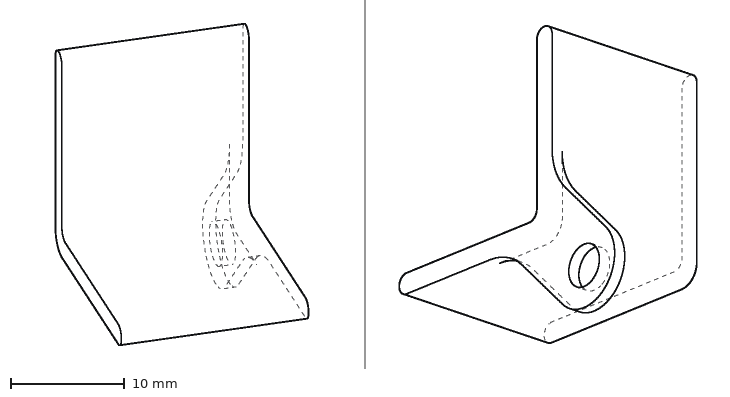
import cadquery as cq
import math

leg_length = 20.0
leg_thickness = 2.0
bracket_width = 17.2
outer_bend_radius = 2.0
inner_bend_radius = 1.0
tip_radius = leg_thickness / 2

tab_thickness = 1.2
tab_end_radius = 4.0
hole_diameter = 4.0
hole_offset = 4.18
tab_blend_radius = 6.0
tab_angle = 45.0

half_root = math.sqrt(0.5)


def xz_plane(y):
    """Sketch plane at the given Y, with local axes X and Z; it extrudes toward -Y."""
    return cq.Workplane("XZ", origin=(0, y, 0))


def make_bracket():
    tip_center = leg_length - tip_radius
    inner_bend_end = leg_thickness + inner_bend_radius
    inner_bend_mid = inner_bend_end - inner_bend_radius * half_root
    outer_bend_mid = outer_bend_radius * (1 - half_root)
    return (
        xz_plane(bracket_width)
        .moveTo(outer_bend_radius, 0)
        .lineTo(tip_center, 0)
        .threePointArc((leg_length, tip_radius), (tip_center, leg_thickness))
        .lineTo(inner_bend_end, leg_thickness)
        .threePointArc((inner_bend_mid, inner_bend_mid), (leg_thickness, inner_bend_end))
        .lineTo(leg_thickness, tip_center)
        .threePointArc((tip_radius, leg_length), (0, tip_center))
        .lineTo(0, outer_bend_radius)
        .threePointArc((outer_bend_mid, outer_bend_mid), (outer_bend_radius, 0))
        .close()
        .extrude(bracket_width)
    )


def make_tab():
    side_shift = tab_end_radius * half_root
    end_near = -hole_offset - side_shift
    end_far = -hole_offset + side_shift

    side_meeting = 2 * side_shift
    half_turn = math.radians(tab_angle / 2)
    blend_length = tab_blend_radius * math.tan(half_turn)
    blend_leg_end = side_meeting + blend_length
    blend_side_across = -blend_length * half_root
    blend_side_along = side_meeting + blend_side_across

    blend_mid_across = tab_blend_radius * (math.cos(half_turn) - 1)
    blend_mid_along = blend_leg_end - tab_blend_radius * math.sin(half_turn)

    return (
        xz_plane(bracket_width)
        .moveTo(0, blend_leg_end)
        .threePointArc((blend_mid_across, blend_mid_along), (blend_side_across, blend_side_along))
        .lineTo(end_near, end_far)
        .threePointArc((end_near, end_near), (end_far, end_near))
        .lineTo(blend_side_along, blend_side_across)
        .threePointArc((blend_mid_along, blend_mid_across), (blend_leg_end, 0))
        .lineTo(blend_leg_end, leg_thickness)
        .lineTo(leg_thickness, leg_thickness)
        .lineTo(leg_thickness, blend_leg_end)
        .close()
        .extrude(tab_thickness)
    )


def make_hole():
    return (
        xz_plane(bracket_width)
        .center(-hole_offset, -hole_offset)
        .circle(hole_diameter / 2)
        .extrude(tab_thickness)
    )


result = make_bracket().union(make_tab()).cut(make_hole())